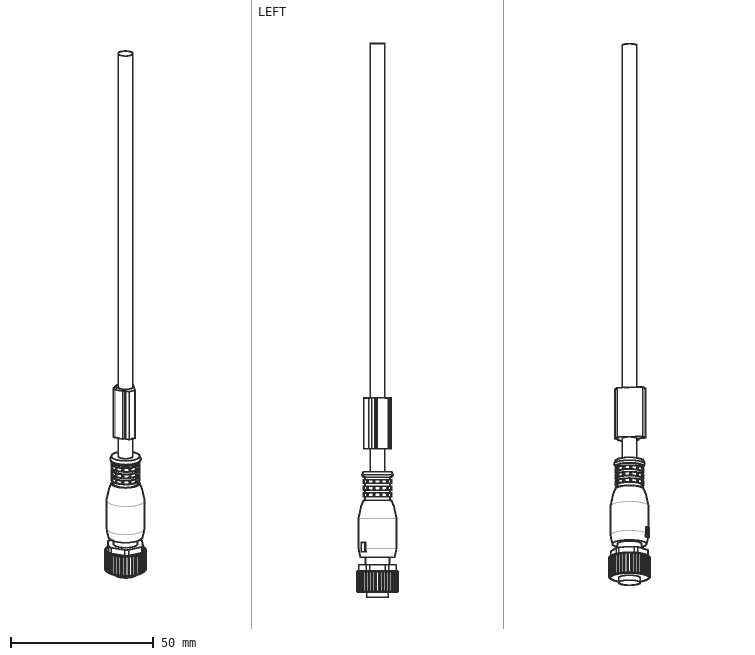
import cadquery as cq

total_height = 194.0
cable_radius = 2.62

tip_radius = 3.78
nut_bottom = 1.7
nut_top = 9.3
nut_radius = 7.28
nut_edge_chamfer = 0.48
groove_count = 36
groove_radius = 0.4

collar_top = 11.5
collar_radius = 6.5
collar_across_flats = 12.0

neck_radius = 4.3
grip_bottom = 14.0
grip_bottom_radius = 6.0
grip_shoulder = 15.5
grip_shoulder_radius = 6.4
grip_straight_bottom = 17.3
grip_straight_top = 27.7
grip_radius = 6.7
grip_top = 34.0
cone_mid_height = 31.2
cone_mid_radius = 6.0

mark_angle = 135.0
mark_width = 1.5
mark_bottom = 16.0
mark_top = 19.2
mark_reach = 7.2

relief_radius = 4.95
relief_core_radius = 4.5
ring_count = 3
ring_pitch = 2.3
first_ring_middle = grip_top + 2.0
ring_height = 1.4
slot_count = 12
slot_width = 0.5
end_ring_bottom = 42.1
end_ring_peak = 42.9
end_ring_top = 44.0
end_ring_peak_radius = 5.5

clip_bottom = 52.0
clip_top = 69.8


def disc(radius, bottom, top):
    """Upright cylinder on the cable axis."""
    return cq.Workplane("XY").workplane(offset=bottom).circle(radius).extrude(top - bottom)


def make_nut():
    """Chamfered coupling nut with evenly spaced knurl grooves."""
    nut = disc(nut_radius, nut_bottom, nut_top).edges("%CIRCLE").chamfer(nut_edge_chamfer)
    grooves = (
        cq.Workplane("XY")
        .workplane(offset=nut_bottom)
        .polarArray(nut_radius, 0, 360, groove_count)
        .circle(groove_radius)
        .extrude(nut_top - nut_bottom)
    )
    return nut.cut(grooves)


def make_collar():
    """Round collar trimmed to six flats, two of them facing +X and -X."""
    height = collar_top - nut_top
    collar = disc(collar_radius, nut_top, collar_top)
    slab = (
        cq.Workplane("XY")
        .workplane(offset=nut_top)
        .rect(collar_across_flats, 4 * collar_radius)
        .extrude(height)
    )
    for angle in (0, 60, 120):
        collar = collar.intersect(slab.rotate((0, 0, 0), (0, 0, 1), angle))
    return collar


def make_grip():
    """Turned grip with a rounded lower end and a curved taper to the strain relief."""
    return (
        cq.Workplane("XZ")
        .moveTo(0, grip_bottom)
        .lineTo(grip_bottom_radius, grip_bottom)
        .threePointArc((grip_shoulder_radius, grip_shoulder), (grip_radius, grip_straight_bottom))
        .lineTo(grip_radius, grip_straight_top)
        .threePointArc((cone_mid_radius, cone_mid_height), (relief_radius, grip_top))
        .lineTo(0, grip_top)
        .close()
        .revolve(360, (0, 0, 0), (0, 1, 0))
    )


def make_mark():
    """Small raised pad standing out of the grip."""
    return (
        cq.Workplane("XY")
        .workplane(offset=mark_bottom)
        .center(mark_reach / 2, 0)
        .rect(mark_reach, mark_width)
        .extrude(mark_top - mark_bottom)
        .rotate((0, 0, 0), (0, 0, 1), mark_angle)
    )


def make_strain_relief():
    """Core with rings split by upright slots, closed by a ridged end ring."""
    rings = cq.Workplane("XY")
    for index in range(ring_count):
        middle = first_ring_middle + ring_pitch * index
        rings = rings.add(disc(relief_radius, middle - ring_height / 2, middle + ring_height / 2))
    slots = (
        cq.Workplane("XY")
        .workplane(offset=grip_top)
        .transformed(rotate=(0, 0, 180 / slot_count))
        .polarArray(relief_radius, 0, 360, slot_count)
        .rect(relief_radius, slot_width)
        .extrude(end_ring_bottom - grip_top)
    )
    end_ring = (
        cq.Workplane("XZ")
        .moveTo(0, end_ring_bottom)
        .lineTo(relief_radius, end_ring_bottom)
        .lineTo(end_ring_peak_radius, end_ring_peak)
        .lineTo(relief_radius, end_ring_top)
        .lineTo(0, end_ring_top)
        .close()
        .revolve(360, (0, 0, 0), (0, 1, 0))
    )
    core = disc(relief_core_radius, grip_top, end_ring_bottom)
    return rings.combine().cut(slots).union(core).union(end_ring)


def make_clip():
    """Upright marker clip wrapped round the cable, with one fin towards -X and +Y."""
    return (
        cq.Workplane("XY")
        .workplane(offset=clip_bottom)
        .moveTo(-4.8, 3.1)
        .lineTo(-3.7, 2.0)
        .threePointArc((-3.3, 1.5), (-3.3, 1.0))
        .lineTo(-2.7, 0.8)
        .lineTo(-2.7, 0.2)
        .lineTo(-3.5, 0.0)
        .threePointArc((-3.0, -2.1), (-1.5, -3.7))
        .lineTo(-1.2, -3.0)
        .lineTo(-0.8, -3.1)
        .lineTo(-1.4, -4.0)
        .threePointArc((-0.5, -4.7), (0.5, -4.7))
        .lineTo(3.1, -3.3)
        .lineTo(3.1, -2.3)
        .lineTo(3.7, -2.3)
        .lineTo(4.8, -1.7)
        .lineTo(4.8, 0.8)
        .lineTo(-3.1, 4.8)
        .close()
        .extrude(clip_top - clip_bottom)
    )


result = (
    disc(cable_radius, nut_bottom, total_height)
    .union(disc(tip_radius, 0, nut_top))
    .union(make_nut())
    .union(make_collar())
    .union(disc(neck_radius, nut_top, grip_bottom))
    .union(make_grip())
    .union(make_mark())
    .union(make_strain_relief())
    .union(make_clip())
)